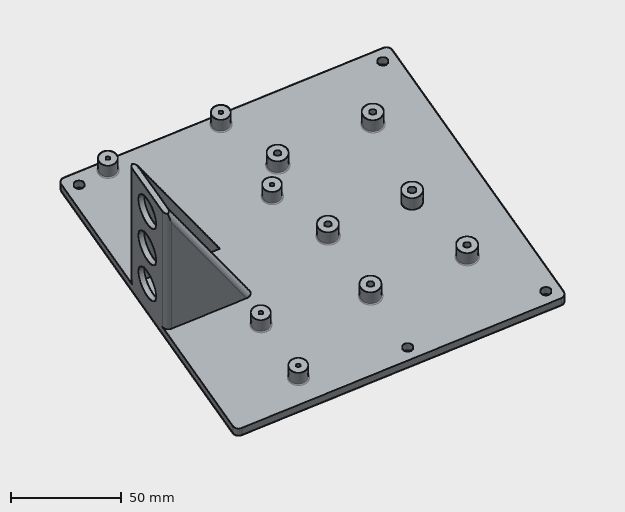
import cadquery as cq

plate_size = 170.0
plate_thickness = 5.0
plate_corner_radius = 3.0
plate_front_y = -plate_size / 2

mount_hole_diameter = 5.0
mount_hole_offset = 78.0
side_hole_y = 7.0
mount_hole_points = [
    (-mount_hole_offset, mount_hole_offset),
    (mount_hole_offset, mount_hole_offset),
    (-mount_hole_offset, -mount_hole_offset),
    (mount_hole_offset, side_hole_y),
]

standoff_height = 8.0
standoff_base_fillet = 0.5

large_standoff_diameter = 10.0
large_bore_diameter = 3.33
large_back_row_y = 56.4
large_front_row_y = 6.8
large_right_x = 42.8
large_middle_x = 2.1
large_standoff_points = [
    (-47.4, large_back_row_y),
    (large_right_x, large_back_row_y),
    (-46.1, large_front_row_y),
    (large_middle_x, large_front_row_y),
    (large_right_x, large_front_row_y),
]

small_standoff_diameter = 9.0
small_bore_diameter = 2.08
left_group_points = [(x, y) for x in (-79.7, -30.7) for y in (-62.3, -4.3)]
right_group_points = [(x, -45.0) for x in (34.4, 70.2)]
small_standoff_points = left_group_points + right_group_points

blind_bore_diameter = 4.0
blind_standoff_points = [(large_middle_x, 50.0)]

bracket_height = 85.0
bracket_width = 34.8
bracket_center_x = 0.3
bracket_depth = 45.0
bracket_wall = 3.0
bracket_edge_radius = bracket_wall
bracket_rise = bracket_height - plate_thickness
bracket_inner_y = plate_front_y + bracket_wall
bracket_back_y = plate_front_y + bracket_depth

window_count = 3
window_diameter = 17.0
window_spacing = 25.0
first_window_z = 20.0


def vertical_cylinders(points, diameter, bottom_z, height):
    return cq.Workplane("XY", origin=(0, 0, bottom_z)).pushPoints(points).circle(diameter / 2).extrude(height)


def make_plate():
    plate = (
        cq.Workplane("XY")
        .box(plate_size, plate_size, plate_thickness, centered=(True, True, False))
        .edges("|Z")
        .fillet(plate_corner_radius)
    )
    return plate.cut(vertical_cylinders(mount_hole_points, mount_hole_diameter, 0, plate_thickness))


def add_filleted_standoffs(body, points, diameter, bore_diameter):
    """Add standoffs with a filleted foot, bored right through the plate."""
    radius = diameter / 2
    foot_radius = radius + standoff_base_fillet
    post = (
        cq.Workplane("XZ")
        .lineTo(foot_radius, 0)
        .radiusArc((radius, standoff_base_fillet), standoff_base_fillet)
        .lineTo(radius, standoff_height)
        .lineTo(0, standoff_height)
        .close()
        .revolve(360, (0, 0), (0, 1))
    )
    for x, y in points:
        body = body.union(post.translate((x, y, plate_thickness)))
    return body.cut(vertical_cylinders(points, bore_diameter, 0, plate_thickness + standoff_height))


def add_blind_standoff(body):
    points = blind_standoff_points
    post = vertical_cylinders(points, large_standoff_diameter, plate_thickness, standoff_height)
    bore = vertical_cylinders(points, blind_bore_diameter, plate_thickness, standoff_height)
    return body.union(post.cut(bore))


def make_bracket_column():
    """Block around the bracket with its two upright front edges rounded."""
    return (
        cq.Workplane("XY", origin=(bracket_center_x, plate_front_y, plate_thickness))
        .box(bracket_width, bracket_depth, bracket_rise, centered=(True, False, False))
        .edges("|Z and <Y")
        .fillet(bracket_edge_radius)
    )


def make_bracket_wedge():
    """Wedge with a rounded sloping back that runs past the bracket at both ends."""
    slope_run = bracket_back_y - bracket_inner_y
    bottom_z = plate_thickness - bracket_rise
    top_z = bracket_height + bracket_rise
    return (
        cq.Workplane("YZ", origin=(bracket_center_x - bracket_width / 2, 0, 0))
        .moveTo(bracket_inner_y - slope_run, bottom_z)
        .lineTo(bracket_back_y + slope_run, bottom_z)
        .lineTo(bracket_inner_y - slope_run, top_z)
        .close()
        .extrude(bracket_width)
        .faces("not(|X or |Y or |Z)")
        .edges("not |X")
        .fillet(bracket_edge_radius)
    )


def make_bracket():
    inner_width = bracket_width - 2 * bracket_wall
    cavity = (
        cq.Workplane("XY", origin=(bracket_center_x, bracket_inner_y, plate_thickness))
        .box(inner_width, bracket_depth, bracket_rise, centered=(True, False, False))
    )
    windows = (
        cq.Workplane("XZ", origin=(bracket_center_x, bracket_inner_y, first_window_z))
        .pushPoints([(0, i * window_spacing) for i in range(window_count)])
        .circle(window_diameter / 2)
        .extrude(bracket_wall)
    )
    return make_bracket_column().intersect(make_bracket_wedge()).cut(cavity).cut(windows)


result = make_plate()
result = add_filleted_standoffs(result, large_standoff_points, large_standoff_diameter, large_bore_diameter)
result = add_filleted_standoffs(result, small_standoff_points, small_standoff_diameter, small_bore_diameter)
result = add_blind_standoff(result)
result = result.union(make_bracket())